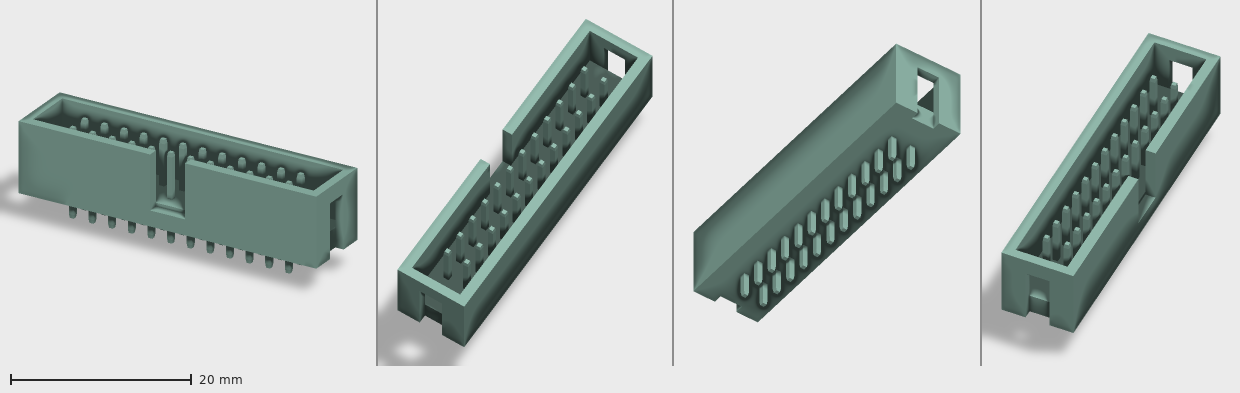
import cadquery as cq

length = 38.42
width = 8.8
height = 8.8
end_wall = 1.08
side_wall = 1.23
cavity_depth = 6.38

notch_width = 4.5
notch_depth = 6.85

end_slot_width = 2.92
end_slot_top_gap = 2.0

columns = 12
rows = 2
pitch = 2.55
pin_field_shift = -0.15
pin_size = 0.65
pin_top_gap = 0.73
pin_tail = 3.0
tip_length = 0.5
tip_inset = 0.08


def block(size_x, size_y, bottom, top):
    """Box centred on the Z axis, spanning the given heights."""
    return (
        cq.Workplane("XY", origin=(0, 0, bottom))
        .box(size_x, size_y, top - bottom, centered=(True, True, False))
    )


def make_housing():
    cavity = block(length - 2 * end_wall, width - 2 * side_wall, height - cavity_depth, height)
    notch = block(notch_width, side_wall, height - notch_depth, height)
    notch = notch.translate((0, (side_wall - width) / 2, 0))
    housing = block(length, width, 0, height).cut(cavity).cut(notch)

    end_slot = block(end_wall, end_slot_width, 0, height - end_slot_top_gap)
    for side in (-1, 1):
        housing = housing.cut(end_slot.translate((side * (length - end_wall) / 2, 0, 0)))
    return housing


def make_pin():
    """One pin on the Z axis, running from its tail through the housing floor."""
    tip_size = pin_size - 2 * tip_inset
    shank_bottom = tip_length - pin_tail
    shank_top = height - pin_top_gap - tip_length
    shank = block(pin_size, pin_size, shank_bottom, shank_top)
    pin = shank
    for end_face in ("<Z", ">Z"):
        tip = (
            shank.faces(end_face).workplane().rect(pin_size, pin_size)
            .workplane(offset=tip_length).rect(tip_size, tip_size)
            .loft(combine=False)
        )
        pin = pin.union(tip)
    return pin


result = make_housing()
pin = make_pin()
for column in range(columns):
    pin_x = (column - (columns - 1) / 2) * pitch + pin_field_shift
    for row in range(rows):
        pin_y = (row - (rows - 1) / 2) * pitch
        result = result.union(pin.translate((pin_x, pin_y, 0)))